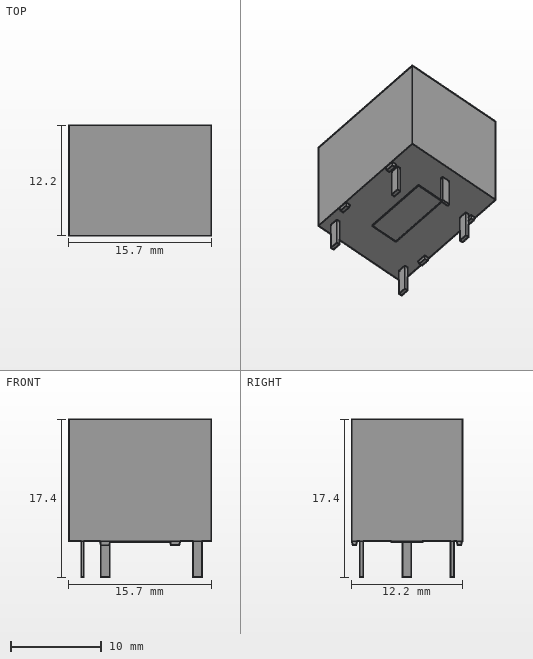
import cadquery as cq

body_length = 15.7
body_width = 12.21
total_height = 17.4
pin_length = 3.95
body_height = total_height - pin_length

blade_width = 1.01
contact_pin_thickness = 0.4
common_pin_thickness = 0.3
outer_pin_x = 6.33
inner_pin_x = 3.83
pin_row_y = 5.0

foot_length = 1.15
foot_width = 0.61
foot_height = 0.44
foot_taper = 0.1
foot_x = 3.86
foot_y = 5.78

pad_length = 2 * foot_x
pad_width = 3.46
pad_height = 0.14

underside_y = -0.02


def pin(x, y, size_x, size_y):
    """Rectangular pin hanging from the underside, centred at (x, y)."""
    return cq.Workplane("XY").center(x, y).rect(size_x, size_y).extrude(-pin_length)


def foot(x, y):
    """Standoff foot that narrows by foot_taper on every side towards its tip."""
    return (
        cq.Workplane("XY")
        .center(x, y)
        .rect(foot_length, foot_width)
        .workplane(offset=-foot_height)
        .rect(foot_length - 2 * foot_taper, foot_width - 2 * foot_taper)
        .loft(combine=True)
    )


result = cq.Workplane("XY").rect(body_length, body_width).extrude(body_height)

pad = cq.Workplane("XY").center(0, underside_y).rect(pad_length, pad_width).extrude(-pad_height)
result = result.union(pad)

for side in (-1, 1):
    for end_x in (-foot_x, foot_x):
        result = result.union(foot(end_x, underside_y + side * foot_y))
    for pin_x in (-inner_pin_x, outer_pin_x):
        pin_y = underside_y + side * pin_row_y
        result = result.union(pin(pin_x, pin_y, blade_width, contact_pin_thickness))

result = result.union(pin(-outer_pin_x, underside_y, common_pin_thickness, blade_width))